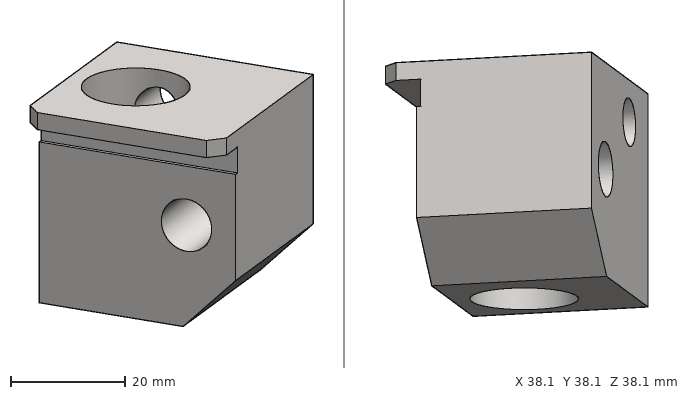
import cadquery as cq

side = 38.1

flange_thickness = 3.2
flange_overhang = 6.35
flange_chamfer = 2.65
undercut_depth = 0.75
undercut_bottom = side - 8.05
flange_bottom = side - flange_thickness

bevel = 10.2

bore_diameter = 19.05
bore_x = side / 3
bore_y = side / 2

cross_diameter = 9.75
cross_x = 0.75 * side
cross_z = side / 2

side_hole_diameter = 8.55
side_hole_z = 30.55


def make_block():
    """Side profile with the overhanging flange and the undercut below it."""
    undercut_y = flange_overhang + undercut_depth
    profile = [
        (flange_overhang, 0),
        (side, 0),
        (side, side),
        (0, side),
        (0, flange_bottom),
        (undercut_y, flange_bottom),
        (undercut_y, undercut_bottom),
        (flange_overhang, undercut_bottom),
    ]
    return cq.Workplane("YZ").polyline(profile).close().extrude(side)


def make_bevel():
    """Wedge removed from the lower +X corner."""
    corner = [(side - bevel, 0), (side, 0), (side, bevel)]
    return cq.Workplane("XZ").polyline(corner).close().extrude(-side)


def make_bore():
    return cq.Workplane("XY").center(bore_x, bore_y).circle(bore_diameter / 2).extrude(side)


def make_cross_hole():
    return cq.Workplane("XZ").center(cross_x, cross_z).circle(cross_diameter / 2).extrude(-side)


def make_side_hole():
    """Hole on the bore centre plane, running from the bore axis out through the back face."""
    return (
        cq.Workplane("XZ", origin=(bore_x, bore_y, side_hole_z))
        .circle(side_hole_diameter / 2)
        .extrude(bore_y - side)
    )


block = make_block().faces("<Y").edges("|Z").chamfer(flange_chamfer)
result = block.cut(make_bevel()).cut(make_bore()).cut(make_cross_hole()).cut(make_side_hole())